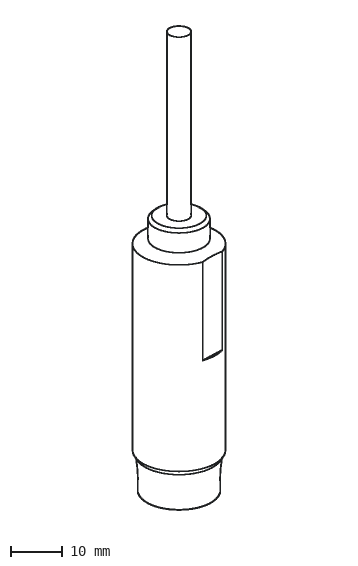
import cadquery as cq

total_height = 100.0

cable_radius = 4.7 / 2

collar_radius = 12.0 / 2
collar_top = 60.0
collar_chamfer = 0.7

body_radius = 18.0 / 2
body_bottom = 9.0
body_top = 53.9
shoulder_top = 55.0

tip_top = 8.0
tip_top_radius = 8.4
tip_waist_height = 4.0
tip_waist_radius = 8.0
tip_bottom_radius = 8.0
tip_edge_chamfer = 0.2

flat_offset = 8.5
flat_bottom = 32.5


def make_turned_body():
    """Revolve the half profile (radius, height) around Z."""
    profile = (
        cq.Workplane("XZ")
        .moveTo(0, 0)
        .lineTo(tip_bottom_radius - tip_edge_chamfer, 0)
        .lineTo(tip_bottom_radius, tip_edge_chamfer)
        .threePointArc((tip_waist_radius, tip_waist_height), (tip_top_radius, tip_top))
        .lineTo(body_radius, body_bottom)
        .lineTo(body_radius, body_top)
        .lineTo(collar_radius, shoulder_top)
        .lineTo(collar_radius, collar_top - collar_chamfer)
        .lineTo(collar_radius - collar_chamfer, collar_top)
        .lineTo(cable_radius, collar_top)
        .lineTo(cable_radius, total_height)
        .lineTo(0, total_height)
        .close()
    )
    return profile.revolve(360, (0, 0, 0), (0, 1, 0))


def make_flat_cutter():
    """Block that removes the +X side of the barrel above the flat's lower end."""
    return cq.Workplane("XY").box(
        body_radius,
        2 * body_radius,
        shoulder_top - flat_bottom,
        centered=(False, True, False),
    ).translate((flat_offset, 0, flat_bottom))


result = make_turned_body().cut(make_flat_cutter())